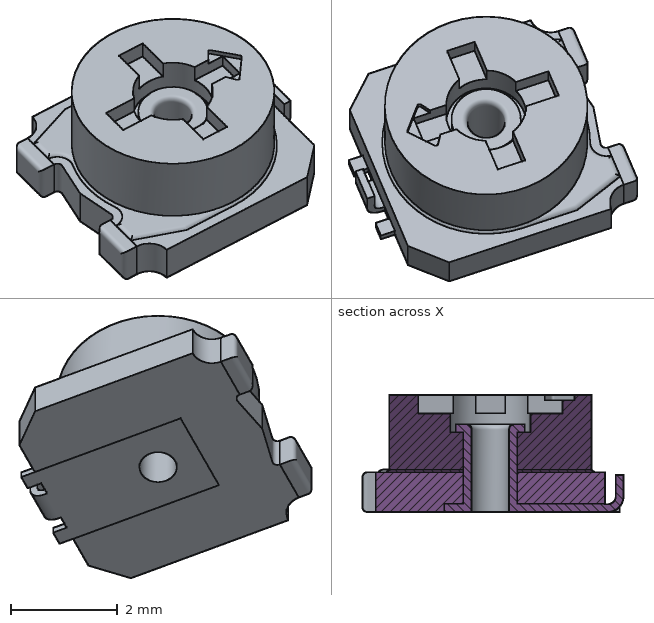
import cadquery as cq
import math


base_width = 4.3
base_height = 0.75
half_width = base_width / 2
back_y = half_width
corner_chamfer = 0.6
side_end_y = -1.7
corner_scoop_radius = 0.4
front_y = side_end_y - corner_scoop_radius
front_nose_y = -2.15
front_notch_y = -1.975
notch_fillet = 0.1

terminal_outer_x = half_width - corner_scoop_radius
terminal_inner_x = 0.9
terminal_length = 0.3
terminal_fillet = 0.1

element_radius = 1.95
element_height = 0.05
element_edge_run = 0.1
element_shoulder_y = -1.09
element_foot_x = 1.56
element_scoop_radius = 0.3
element_scoop_y = -2.11

rotor_diameter = 3.8
rotor_bottom = base_height + element_height
rotor_top = 2.2
slot_length = 2.7
slot_width = 0.55
slot_depth = 0.35
well_diameter = 1.5
well_depth = 0.7
arrow_depth = 0.1
arrow_tip_y = 1.59
arrow_wing_x = 0.5
arrow_wing_y = 1.17
arrow_tail_y = 0.84
arrow_fillet = 0.04

sheet_thickness = 0.15
strip_half_width = 0.86
eyelet_diameter = 1.0
eyelet_bore = 0.7
flange_diameter = 1.3
flange_lip_radius = 0.1
side_tab_width = 0.29
side_tab_end_y = 2.43
wiper_tab_width = 0.62
wiper_tab_end_y = 2.5
wiper_tab_top = 0.7
wiper_bend_inner = sheet_thickness
flange_bottom = rotor_top - well_depth


def make_strip():
    """Flat contact strip in the underside of the base, from the eyelet to the back face."""
    strip_length = back_y + strip_half_width
    return (
        cq.Workplane("XY")
        .center(0, back_y - strip_length / 2)
        .rect(2 * strip_half_width, strip_length)
        .extrude(sheet_thickness)
    )


def make_bore(top):
    """Cylinder that the eyelet fills, from the mounting plane up to the given height."""
    return cq.Workplane("XY").circle(eyelet_diameter / 2).extrude(top)


def make_base():
    scoop_mid = corner_scoop_radius * math.sqrt(0.5)
    right_half = (
        cq.Workplane("XY")
        .moveTo(0, back_y)
        .lineTo(half_width - corner_chamfer, back_y)
        .lineTo(half_width, back_y - corner_chamfer)
        .lineTo(half_width, side_end_y)
        .threePointArc((half_width - scoop_mid, front_y + scoop_mid), (terminal_outer_x, front_y))
        .lineTo(terminal_inner_x, front_y)
        .lineTo(terminal_inner_x, front_notch_y)
        .lineTo(0, front_nose_y)
        .close()
        .extrude(base_height)
    )
    notch_corner = cq.selectors.NearestToPointSelector((terminal_inner_x, front_notch_y, base_height / 2))
    right_half = right_half.edges(notch_corner).fillet(notch_fillet)
    base = right_half.union(right_half.mirror("YZ"))
    return base.cut(make_strip()).cut(make_bore(base_height))


def make_terminal(side):
    """Solder block with a rounded front; side is -1 for left and +1 for right."""
    width = terminal_outer_x - terminal_inner_x
    center_x = side * (terminal_outer_x + terminal_inner_x) / 2
    return (
        cq.Workplane("XY")
        .center(center_x, front_y - terminal_length / 2)
        .rect(width, terminal_length)
        .extrude(base_height)
        .faces("<Y")
        .edges()
        .fillet(terminal_fillet)
    )


def make_element():
    """Horseshoe-shaped layer with rounded upper edges and two feet at the terminals."""
    scoop_distance = element_radius + element_scoop_radius
    scoop_x = math.sqrt(scoop_distance**2 - element_scoop_y**2)
    join_scale = element_radius / scoop_distance
    join_x = scoop_x * join_scale
    join_y = element_scoop_y * join_scale
    scoop_mid = element_scoop_radius * math.sqrt(0.5)
    foot_inner_x = scoop_x + math.sqrt(element_scoop_radius**2 - (front_y - element_scoop_y) ** 2)
    scoop_mid_y = element_scoop_y + scoop_mid
    edge_radius = (element_edge_run**2 + element_height**2) / (2 * element_height)
    blank_height = 2 * edge_radius
    blank = (
        cq.Workplane("XY", origin=(0, 0, rotor_bottom - blank_height))
        .moveTo(-element_radius, 0)
        .threePointArc((0, element_radius), (element_radius, 0))
        .lineTo(element_radius, element_shoulder_y)
        .lineTo(element_foot_x, front_y)
        .lineTo(foot_inner_x, front_y)
        .threePointArc((scoop_x + scoop_mid, scoop_mid_y), (join_x, join_y))
        .threePointArc((0, -element_radius), (-join_x, join_y))
        .threePointArc((-scoop_x - scoop_mid, scoop_mid_y), (-foot_inner_x, front_y))
        .lineTo(-element_foot_x, front_y)
        .lineTo(-element_radius, element_shoulder_y)
        .close()
        .offset2D(edge_radius - element_edge_run, "intersection")
        .extrude(blank_height)
        .faces(">Z")
        .edges()
        .fillet(edge_radius)
    )
    below_base_top = cq.Workplane("XY").rect(2 * base_width, 2 * base_width).extrude(base_height)
    return blank.cut(below_base_top).cut(make_bore(rotor_bottom))


def make_rotor():
    rotor = (
        cq.Workplane("XY", origin=(0, 0, rotor_bottom))
        .circle(rotor_diameter / 2)
        .extrude(rotor_top - rotor_bottom)
    )
    top_plane = cq.Workplane("XY", origin=(0, 0, rotor_top))
    slot_x = top_plane.rect(slot_length, slot_width).extrude(-slot_depth)
    slot_y = top_plane.rect(slot_width, slot_length).extrude(-slot_depth)
    well = top_plane.circle(well_diameter / 2).extrude(-well_depth)
    arrow = (
        top_plane.moveTo(0, arrow_tip_y)
        .lineTo(arrow_wing_x, arrow_wing_y)
        .lineTo(0, arrow_tail_y)
        .lineTo(-arrow_wing_x, arrow_wing_y)
        .close()
        .extrude(-arrow_depth)
        .edges("|Z")
        .fillet(arrow_fillet)
    )
    return rotor.cut(slot_x).cut(slot_y).cut(well).cut(arrow).cut(make_bore(rotor_top))


def make_wiper_tab():
    """Tab that leaves the back face along the bottom and bends up into a vertical end."""
    bend_outer = wiper_bend_inner + sheet_thickness
    bend_y = wiper_tab_end_y - bend_outer
    bend_z = bend_outer
    diagonal = math.sqrt(0.5)
    outer_mid = (bend_y + bend_outer * diagonal, bend_z - bend_outer * diagonal)
    inner_mid = (bend_y + wiper_bend_inner * diagonal, bend_z - wiper_bend_inner * diagonal)
    return (
        cq.Workplane("YZ")
        .moveTo(back_y, 0)
        .lineTo(bend_y, 0)
        .threePointArc(outer_mid, (wiper_tab_end_y, bend_z))
        .lineTo(wiper_tab_end_y, wiper_tab_top)
        .lineTo(wiper_tab_end_y - sheet_thickness, wiper_tab_top)
        .lineTo(wiper_tab_end_y - sheet_thickness, bend_z)
        .threePointArc(inner_mid, (bend_y, sheet_thickness))
        .lineTo(back_y, sheet_thickness)
        .close()
        .extrude(wiper_tab_width / 2, both=True)
    )


def make_wiper():
    wiper = make_strip().union(make_wiper_tab())
    side_tab_length = side_tab_end_y - back_y
    for side in (-1, 1):
        side_tab = (
            cq.Workplane("XY")
            .center(side * (strip_half_width - side_tab_width / 2), back_y + side_tab_length / 2)
            .rect(side_tab_width, side_tab_length)
            .extrude(sheet_thickness)
        )
        wiper = wiper.union(side_tab)
    flange = (
        cq.Workplane("XY", origin=(0, 0, flange_bottom))
        .circle(flange_diameter / 2)
        .extrude(sheet_thickness)
    )
    wiper = wiper.union(make_bore(flange_bottom)).union(flange)
    bore = cq.Workplane("XY").circle(eyelet_bore / 2).extrude(rotor_top)
    bore_edge = cq.selectors.RadiusNthSelector(0)
    return wiper.cut(bore).faces(">Z").edges(bore_edge).fillet(flange_lip_radius)


base = make_base()
element = make_element()
rotor = make_rotor()
wiper = make_wiper()
terminals = [make_terminal(side) for side in (-1, 1)]

result = cq.Compound.makeCompound(
    [base.val(), element.val(), rotor.val(), wiper.val(), *[terminal.val() for terminal in terminals]]
)